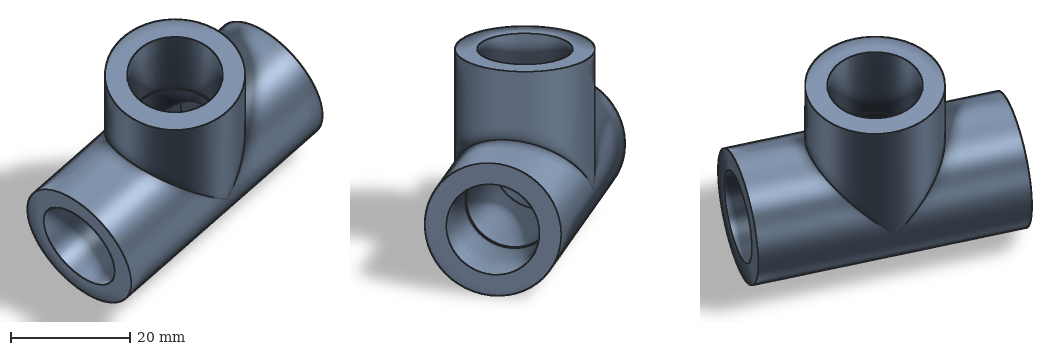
import cadquery as cq

run_length = 48.0
outer_diameter = 23.5
socket_diameter = 16.05
inner_diameter = 15.55
socket_depth = 14.0

arm_length = run_length / 2


def tee_cylinders(diameter):
    """Run and branch cylinders of one diameter, joined at the origin."""
    run = cq.Workplane("XZ").circle(diameter / 2).extrude(arm_length, both=True)
    branch = cq.Workplane("XY").circle(diameter / 2).extrude(arm_length)
    return run.union(branch)


def socket(end_plane):
    """Counterbore going inward from an open end whose plane faces outward."""
    return cq.Workplane(end_plane).circle(socket_diameter / 2).extrude(-socket_depth)


open_ends = [
    cq.Plane(origin=(0, direction_y * arm_length, direction_z * arm_length),
             xDir=(1, 0, 0), normal=(0, direction_y, direction_z))
    for direction_y, direction_z in [(-1, 0), (1, 0), (0, 1)]
]

result = tee_cylinders(outer_diameter).cut(tee_cylinders(inner_diameter))
for end_plane in open_ends:
    result = result.cut(socket(end_plane))